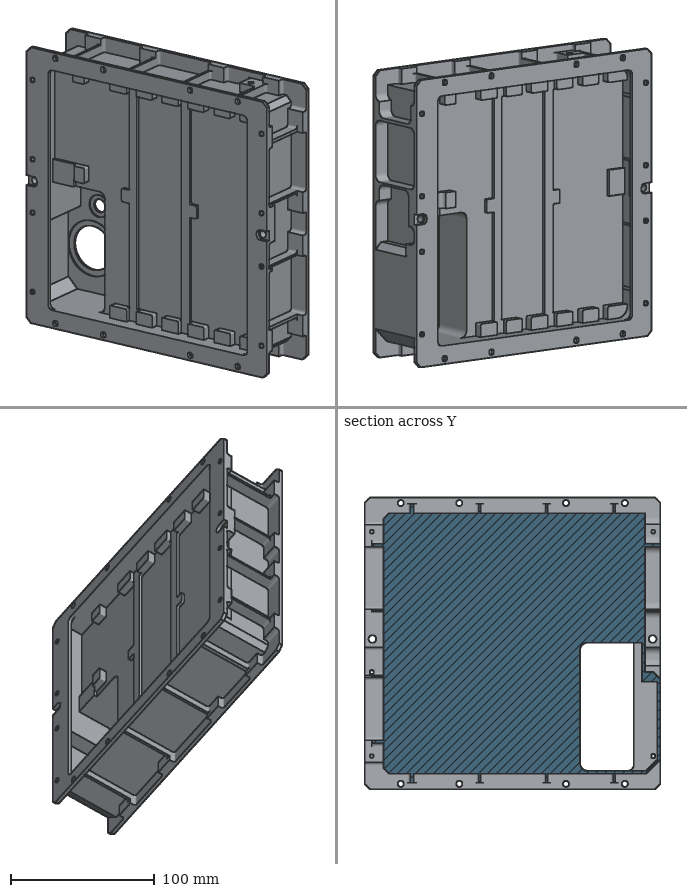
import cadquery as cq

LENGTH_X = 205.8
DEPTH_Y = 49.8
HEIGHT_Z = 203.3
FLANGE = 2.7
FLANGE_CORNER = 3.7
WALL = 2.3
OVER = 10.3

X_OUT = LENGTH_X / 2
Y_OUT = DEPTH_Y / 2
Z_OUT = HEIGHT_Z / 2
Y_IN = Y_OUT - FLANGE
X_FAR = X_OUT + OVER
Z_FAR = Z_OUT + OVER

BODY_Z = 90.7
BODY_LEFT = -92.4
BODY_RIGHT = 90.0
RIGHT_CHAMFER = 4.1
LEFT_CHAMFER = 9.9
RIB_Z = 97.1
RIB_X = 98.0
BOSS_RISE = 4.1
BACK_BOSS_Y = Y_IN - BOSS_RISE
FRONT_BOSS_Y = -18.3
SLOT_BOSS_Y = -15.8
POCKET_R = 1.6
RIGHT_POCKET_R = 2.0
LEFT_POCKET_R = 5.0

WINDOW_LEFT = -84.4
WINDOW_RIGHT = 86.0
WINDOW_R = 4.0
CAVITY_Z = BODY_Z - WALL
CAVITY_LEFT = BODY_LEFT + WALL
CAVITY_RIGHT = 89.5
CAVITY_R = 8.2
FLOOR_Y = -9.0
BAY_LEFT = -X_OUT + WALL
BAY_RIGHT = -78.2
BAY_TOP = -26.8
WELL_RIGHT = -47.1
WELL_TOP = 0.5
WELL_R = 5.0

RIB_RISE = 2.3
BLOCK_RISE = 5.5
BLOCK_HEIGHT = 9.3
EDGE_R = 1.2
RIB_Y = FLOOR_Y - RIB_RISE
BLOCK_Y = FLOOR_Y - BLOCK_RISE
BLOCK_Z = CAVITY_Z - BLOCK_HEIGHT


def box(x0, x1, y0, y1, z0, z1):
    block = cq.Workplane("XY").box(x1 - x0, y1 - y0, z1 - z0, centered=False)
    return block.translate((x0, y0, z0))


def rounded_box(axis, radius, *limits):
    """Box with its four edges along one axis rounded."""
    return box(*limits).edges("|" + axis).fillet(radius)


def prism_y(points, y0, y1):
    """Prism with an XZ outline, from y0 to y1."""
    return cq.Workplane("XZ", origin=(0, y0, 0)).polyline(points).close().extrude(y0 - y1)


def rod_y(diameter, x, z, y0, y1):
    """Cylinder along Y from y0 to y1."""
    return cq.Workplane("XZ", origin=(x, y0, z)).circle(diameter / 2).extrude(y0 - y1)


def gaps(solids, start, end):
    """Open stretches left between the given (from, to) stretches."""
    starts = [start] + [stretch[1] for stretch in solids]
    ends = [stretch[0] for stretch in solids] + [end]
    return list(zip(starts, ends))


TOP_RIBS = [(-71.6, -70.0), (-24.7, -23.0), (22.0, 23.7), (68.7, 71.2)]
TOP_BOSSES = [(-83.3, -70.0), (-36.6, -23.0), (22.0, 35.4), (68.7, 82.3)]


def top_pockets():
    cutter = box(-X_FAR, X_FAR, -Y_IN, BACK_BOSS_Y, RIB_Z, Z_FAR)
    for x0, x1 in gaps(TOP_RIBS, -X_FAR, X_FAR):
        cutter = cutter.union(
            rounded_box("Z", POCKET_R, x0, x1, -Y_IN, BACK_BOSS_Y, BODY_Z, Z_FAR))
    for x0, x1 in gaps(TOP_BOSSES, -X_FAR, X_FAR):
        cutter = cutter.union(
            rounded_box("Z", POCKET_R, x0, x1, -Y_IN + BOSS_RISE, Y_IN, BODY_Z, Z_FAR))
    return cutter


RIGHT_RIBS = [(-69.5, -67.3), (-23.7, -22.2), (22.2, 23.7), (67.3, 69.5)]
RIGHT_BACK_BOSSES = [(-82.7, -67.3), (-23.7, -8.2), (8.2, 23.7), (67.3, 82.7)]
SLOT_BOSS_Z = (-2.7, 23.7)
RIGHT_FRONT_BOSSES = [(-82.7, -67.3), (-23.7, -22.2), SLOT_BOSS_Z, (67.3, 82.7)]


def right_pocket(y0, y1, z0, z1):
    return rounded_box("X", RIGHT_POCKET_R, BODY_RIGHT, X_FAR, y0, y1, z0, z1)


def right_pockets():
    cutter = box(RIB_X, X_FAR, FRONT_BOSS_Y, BACK_BOSS_Y, -Z_FAR, Z_FAR)
    for z0, z1 in gaps(RIGHT_RIBS, -Z_FAR, Z_FAR):
        cutter = cutter.union(right_pocket(FRONT_BOSS_Y, BACK_BOSS_Y, z0, z1))
    for z0, z1 in gaps(RIGHT_BACK_BOSSES, -Z_FAR, Z_FAR):
        cutter = cutter.union(right_pocket(FRONT_BOSS_Y + BOSS_RISE, Y_IN, z0, z1))
    for z0, z1 in gaps(RIGHT_FRONT_BOSSES, -Z_FAR, Z_FAR):
        cutter = cutter.union(right_pocket(-Y_IN, BACK_BOSS_Y - BOSS_RISE, z0, z1))
    return cutter.cut(box(BODY_RIGHT, X_FAR, -Y_IN, SLOT_BOSS_Y, *SLOT_BOSS_Z))


UPPER_FLOOR = 69.5
UPPER_BACK_STEP = 80.5
UPPER_FRONT_STEP = 82.7
MIDDLE_POCKET = (23.7, 67.3)
LOWER_CEILING = 22.2
LOWER_BACK_STEP = 10.7
LOWER_LEDGE = -19.8
LOWER_RAMP = 5.0
LOWER_FRONT_EDGE = -12.5
FRONT_NOTCH = (-15.6, -2.7)


def left_pocket(y0, y1, z0, z1):
    return rounded_box("X", LEFT_POCKET_R, -X_FAR, BODY_LEFT, y0, y1, z0, z1)


def left_pockets():
    upper = left_pocket(FRONT_BOSS_Y, BACK_BOSS_Y, UPPER_FLOOR, Z_FAR)
    upper = upper.union(left_pocket(FRONT_BOSS_Y, Y_IN, UPPER_BACK_STEP, Z_FAR))
    upper = upper.union(left_pocket(-Y_IN, BACK_BOSS_Y, UPPER_FRONT_STEP, Z_FAR))
    middle = left_pocket(-Y_IN, Y_IN, *MIDDLE_POCKET)

    lower = left_pocket(SLOT_BOSS_Y, BACK_BOSS_Y, FRONT_NOTCH[0], LOWER_CEILING)
    lower = lower.union(left_pocket(-Y_IN, BACK_BOSS_Y, *FRONT_NOTCH))
    lower = lower.union(left_pocket(LOWER_FRONT_EDGE, Y_IN, FRONT_NOTCH[0], LOWER_BACK_STEP))
    lower = lower.union(box(-X_FAR, BODY_LEFT, LOWER_FRONT_EDGE, Y_IN, LOWER_LEDGE, FRONT_NOTCH[1]))
    ramp = [
        (-X_OUT, LOWER_LEDGE),
        (-X_OUT + LOWER_RAMP, LOWER_LEDGE),
        (-X_OUT, LOWER_LEDGE - LOWER_RAMP),
    ]
    lower = lower.union(prism_y(ramp, LOWER_FRONT_EDGE, Y_IN))
    return upper.union(middle).union(lower)


def body_corner_cuts():
    """Chamfers of the body between the flanges: two on the right, one at bottom left."""
    right = [
        (BODY_RIGHT - RIGHT_CHAMFER, BODY_Z),
        (BODY_RIGHT, BODY_Z),
        (BODY_RIGHT, BODY_Z - RIGHT_CHAMFER),
    ]
    left = [
        (-X_OUT, -BODY_Z),
        (-X_OUT + LEFT_CHAMFER, -BODY_Z),
        (-X_OUT, -BODY_Z + LEFT_CHAMFER),
    ]
    right_cut = prism_y(right, -Y_IN, Y_IN)
    return right_cut.union(right_cut.mirror("XY")).union(prism_y(left, -Y_IN, Y_IN))


def left_bay(y1):
    """Lower-left room whose slanted corner runs parallel to the body corner."""
    slant = LEFT_CHAMFER - WALL
    outline = [
        (BAY_LEFT, BAY_TOP),
        (BAY_LEFT, -CAVITY_Z + slant),
        (BAY_LEFT + slant, -CAVITY_Z),
        (BAY_RIGHT, -CAVITY_Z),
        (BAY_RIGHT, BAY_TOP),
    ]
    return prism_y(outline, -Y_IN, y1)


def cavity():
    window = rounded_box(
        "Y", WINDOW_R, WINDOW_LEFT, WINDOW_RIGHT, -Y_OUT, -Y_IN, -CAVITY_Z, CAVITY_Z)
    room = box(CAVITY_LEFT, CAVITY_RIGHT, -Y_IN, FLOOR_Y, -CAVITY_Z, CAVITY_Z)
    room = room.edges("|Y and >X").fillet(CAVITY_R)
    well = box(CAVITY_LEFT, WELL_RIGHT, -Y_IN, Y_IN, -CAVITY_Z, WELL_TOP)
    well = well.edges("|Y and >X").fillet(WELL_R)
    return room.union(window).union(well).union(left_bay(Y_IN))


BLOCKS = [(-39.0, -24.5), (-16.5, -2.7), (5.4, 19.8), (27.8, 41.5), (50.5, 64.2), (72.5, 89.5)]
SINGLE_BLOCK = (-70.5, -60.7)
FLOOR_RIBS = [(-24.5, -18.1), (19.8, 27.0)]
RIB_TABS = [(-31.3, -18.1), (19.8, 33.0)]
RIB_TAB_Z = (-2.0, 7.6)
SIDE_PAD = (76.1, CAVITY_RIGHT)
SIDE_PAD_Z = (-2.0, 16.5)
STEP_PAD_RIGHT = -72.2
STEP_BLOCK = (-69.5, -60.7)
STEP_BLOCK_Z = (6.0, 17.3)


def floor_ribs():
    """Two low ribs along Z, widened at both ends to join the neighbouring blocks."""
    ribs = cq.Workplane("XY")
    heads = [(BLOCKS[0][0], BLOCKS[1][1]), (BLOCKS[2][0], BLOCKS[3][1])]
    for rib, tab, head in zip(FLOOR_RIBS, RIB_TABS, heads):
        shape = box(*rib, RIB_Y, FLOOR_Y, -BODY_Z, BODY_Z)
        shape = shape.union(box(*tab, RIB_Y, FLOOR_Y, *RIB_TAB_Z))
        for z0, z1 in [(-BODY_Z, -BLOCK_Z), (BLOCK_Z, BODY_Z)]:
            shape = shape.union(box(*head, RIB_Y, FLOOR_Y, z0, z1))
        ribs = ribs.add(shape.edges("|Y").fillet(EDGE_R))
    return ribs.combine()


def blocks():
    shapes = cq.Workplane("XY")
    for x0, x1 in BLOCKS:
        block = rounded_box("Y", EDGE_R, x0, x1, BLOCK_Y, FLOOR_Y, BLOCK_Z, BODY_Z)
        shapes = shapes.add(block).add(block.mirror("XY"))
    shapes = shapes.add(
        rounded_box("Y", EDGE_R, *SINGLE_BLOCK, BLOCK_Y, FLOOR_Y, BLOCK_Z, BODY_Z))
    return shapes.combine()


def step_pad():
    """Low pad on the left wall that sweeps up in a curve to a taller block."""
    top = STEP_BLOCK_Z[1]
    sweep = STEP_BLOCK[0] - STEP_PAD_RIGHT
    pad = box(CAVITY_LEFT, STEP_PAD_RIGHT, RIB_Y, FLOOR_Y, WELL_TOP, top)
    block = rounded_box("Y", EDGE_R, STEP_PAD_RIGHT, STEP_BLOCK[1], BLOCK_Y, FLOOR_Y, *STEP_BLOCK_Z)
    block = block.union(
        box(STEP_PAD_RIGHT, STEP_BLOCK[0], BLOCK_Y, FLOOR_Y, *STEP_BLOCK_Z))
    hollow = cq.Workplane("XY", origin=(STEP_PAD_RIGHT, RIB_Y - sweep, WELL_TOP))
    hollow = hollow.circle(sweep).extrude(top - WELL_TOP)
    hollow = hollow.union(
        box(STEP_PAD_RIGHT, STEP_BLOCK[0], BLOCK_Y, RIB_Y - sweep, WELL_TOP, top))
    return pad.union(block.cut(hollow))


TOP_HOLE_D = 4.1
TOP_HOLE_X = (-78.2, -37.2, 37.0, 77.8)
TOP_HOLE_Z = 97.7
SIDE_HOLE_X = 98.0
SIDE_HOLE_Z = (-78.5, -20.0, 19.3, 77.8)
SIDE_HOLE_D = 3.5
SIDE_MOUTH_DEPTH = 0.6
SIDE_PILOT_D = 2.7
SIDE_PILOT_DEPTH = 6.2
SLOT_WIDTH = 7.5
SLOT_X = 97.5
SLOT_Z = 3.0
SLOT_HOLE_D = 5.1
PORT_X, PORT_Z = -80.5, -56.2
PORT_D = 32.3
PORT_RECESS_D = 40.7
SMALL_PORT_X, SMALL_PORT_Z = -74.7, -23.9
SMALL_PORT_D = 9.7
SMALL_PORT_RECESS_D = 16.3
PORT_RECESS = 1.0


def flange_holes():
    holes = cq.Workplane("XY")
    for x in TOP_HOLE_X:
        for z in (-TOP_HOLE_Z, TOP_HOLE_Z):
            holes = holes.add(rod_y(TOP_HOLE_D, x, z, -Y_OUT, -Y_IN))
    for x in (-SIDE_HOLE_X, SIDE_HOLE_X):
        for z in SIDE_HOLE_Z:
            holes = holes.add(rod_y(SIDE_HOLE_D, x, z, -Y_OUT, -Y_OUT + SIDE_MOUTH_DEPTH))
            holes = holes.add(rod_y(SIDE_PILOT_D, x, z, -Y_OUT, -Y_OUT + SIDE_PILOT_DEPTH))
    return holes.combine()


def edge_slots():
    """Open slots in the side edges of the front flange, each with a hole through its boss."""
    half = SLOT_WIDTH / 2
    slot = rod_y(SLOT_WIDTH, SLOT_X, SLOT_Z, -Y_OUT, -Y_IN)
    slot = slot.union(box(SLOT_X, X_FAR, -Y_OUT, -Y_IN, SLOT_Z - half, SLOT_Z + half))
    slot = slot.union(rod_y(SLOT_HOLE_D, SLOT_X, SLOT_Z, -Y_OUT, SLOT_BOSS_Y))
    return slot.union(slot.mirror("YZ"))


def port(x, z, diameter, recess_diameter):
    """Hole through the back flange with a shallow recess in the well floor."""
    recess = rod_y(recess_diameter, x, z, Y_IN, Y_IN + PORT_RECESS)
    return recess.union(rod_y(diameter, x, z, Y_IN, Y_OUT))


PAD_X0 = 55.1
PAD_Y0 = 9.0
PAD_HOLE_X, PAD_HOLE_Y = 61.1, 14.5
PAD_HOLE_D = 2.7
PAD_MOUTH_D = 4.1
PAD_MOUTH_DEPTH = 0.8
PAD_HOLE_DEPTH = 5.4


def pad_hole():
    axis = cq.Workplane("XY", origin=(PAD_HOLE_X, PAD_HOLE_Y, RIB_Z))
    mouth = axis.circle(PAD_MOUTH_D / 2).extrude(-PAD_MOUTH_DEPTH)
    return mouth.union(axis.circle(PAD_HOLE_D / 2).extrude(-PAD_HOLE_DEPTH))


result = box(-X_OUT, X_OUT, -Y_OUT, Y_OUT, -Z_OUT, Z_OUT).edges("|Y").chamfer(FLANGE_CORNER)

upper_pockets = top_pockets()
body_cuts = [
    upper_pockets,
    upper_pockets.mirror("XY"),
    right_pockets(),
    left_pockets(),
    cavity(),
]
for cut in body_cuts:
    result = result.cut(cut)

additions = [
    floor_ribs(),
    blocks(),
    box(*SIDE_PAD, RIB_Y, FLOOR_Y, *SIDE_PAD_Z),
    step_pad(),
    box(PAD_X0, TOP_RIBS[-1][0], PAD_Y0, Y_IN, BODY_Z, RIB_Z),
]
for addition in additions:
    result = result.union(addition)

pad_z = (BODY_Z + RIB_Z) / 2
for corner in [(PAD_X0, Y_IN, pad_z), (TOP_RIBS[-1][0], PAD_Y0, pad_z)]:
    result = result.edges(cq.NearestToPointSelector(corner)).fillet(POCKET_R)

trims = [
    body_corner_cuts(),
    flange_holes(),
    edge_slots(),
    port(PORT_X, PORT_Z, PORT_D, PORT_RECESS_D),
    port(SMALL_PORT_X, SMALL_PORT_Z, SMALL_PORT_D, SMALL_PORT_RECESS_D),
    pad_hole(),
]
for trim in trims:
    result = result.cut(trim)
result = cq.Workplane(result.solids().val())